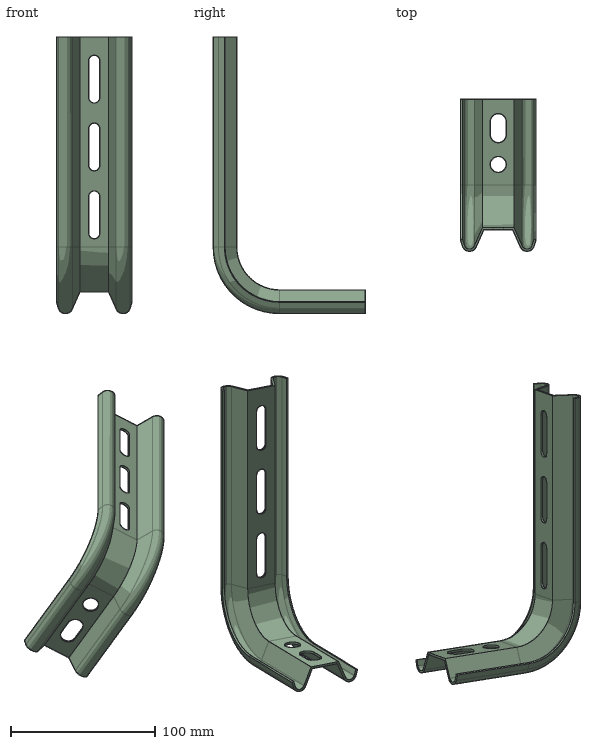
import cadquery as cq
import math

WIDTH = 52.4
REACH = 105.5
HEIGHT = 191.8
BEND_RADIUS = 46.0

DEPTH = 16.5
SHEET = 1.5
LIP_DEPTH = 7.9
RIDGE_RADIUS = 5.2
WALL_ANGLE = math.radians(24)
LIP_ANGLE = math.radians(17)

UPRIGHT_SLOT_WIDTH = 7.5
UPRIGHT_SLOT_LENGTH = 33.0
UPRIGHT_SLOT_START = 29.3
UPRIGHT_SLOT_PITCH = 47.0
UPRIGHT_SLOT_COUNT = 3

ARM_HOLE_DIAMETER = 11.0
ARM_SLOT_LENGTH = 20.0
ARM_SLOT_FROM_END = 20.1
ARM_HOLE_FROM_END = 45.3

lip_tangent_depth = RIDGE_RADIUS * (1 - math.sin(LIP_ANGLE))
lip_run = (LIP_DEPTH - lip_tangent_depth) * math.tan(LIP_ANGLE)
ridge_center_x = WIDTH / 2 - lip_run - RIDGE_RADIUS * math.cos(LIP_ANGLE)


def ridge_point(radius, angle, side):
    """Point where a flat flank meets the ridge; side is +1 for the lip, -1 for the wall."""
    x = ridge_center_x + side * radius * math.cos(angle)
    return (x, RIDGE_RADIUS - radius * math.sin(angle))


def web_corner(radius, depth):
    """Point where the slanted wall reaches the given depth."""
    x, wall_depth = ridge_point(radius, WALL_ANGLE, -1)
    return (x - (depth - wall_depth) * math.tan(WALL_ANGLE), depth)


def mirrored(point):
    return (-point[0], point[1])


def profile(plane):
    """Closed section of the sheet, with local y as the depth direction."""
    inner_radius = RIDGE_RADIUS - SHEET
    lip_tip = (WIDTH / 2, LIP_DEPTH)
    lip_inner_tip = (
        WIDTH / 2 - SHEET * math.cos(LIP_ANGLE),
        LIP_DEPTH + SHEET * math.sin(LIP_ANGLE),
    )
    outer_lip = ridge_point(RIDGE_RADIUS, LIP_ANGLE, 1)
    outer_wall = ridge_point(RIDGE_RADIUS, WALL_ANGLE, -1)
    outer_web = web_corner(RIDGE_RADIUS, DEPTH - SHEET)
    outer_crest = (ridge_center_x, 0)
    inner_lip = ridge_point(inner_radius, LIP_ANGLE, 1)
    inner_wall = ridge_point(inner_radius, WALL_ANGLE, -1)
    inner_web = web_corner(inner_radius, DEPTH)
    inner_crest = (ridge_center_x, SHEET)
    return (
        cq.Workplane(plane)
        .moveTo(*lip_tip)
        .lineTo(*outer_lip)
        .threePointArc(outer_crest, outer_wall)
        .lineTo(*outer_web)
        .lineTo(*mirrored(outer_web))
        .lineTo(*mirrored(outer_wall))
        .threePointArc(mirrored(outer_crest), mirrored(outer_lip))
        .lineTo(*mirrored(lip_tip))
        .lineTo(*mirrored(lip_inner_tip))
        .lineTo(*mirrored(inner_lip))
        .threePointArc(mirrored(inner_crest), mirrored(inner_wall))
        .lineTo(*mirrored(inner_web))
        .lineTo(*inner_web)
        .lineTo(*inner_wall)
        .threePointArc(inner_crest, inner_lip)
        .lineTo(*lip_inner_tip)
        .close()
    )


def bracket_body():
    """Upright and arm joined by a quarter bend whose axis is parallel to X."""
    bend_plane = cq.Plane(origin=(0, 0, BEND_RADIUS), xDir=(1, 0, 0), normal=(0, 0, 1))
    arm_plane = cq.Plane(origin=(0, BEND_RADIUS, 0), xDir=(1, 0, 0), normal=(0, -1, 0))
    upright = profile(bend_plane).extrude(HEIGHT - BEND_RADIUS)
    arm = profile(arm_plane).extrude(BEND_RADIUS - REACH)
    bend = profile(bend_plane).revolve(90, (0, BEND_RADIUS), (1, BEND_RADIUS))
    return upright.union(bend).union(arm)


def upright_slots():
    """Cutters through the web of the upright."""
    centers = [
        (0, HEIGHT - UPRIGHT_SLOT_START - i * UPRIGHT_SLOT_PITCH)
        for i in range(UPRIGHT_SLOT_COUNT)
    ]
    return (
        cq.Workplane("XZ")
        .pushPoints(centers)
        .slot2D(UPRIGHT_SLOT_LENGTH, UPRIGHT_SLOT_WIDTH, 90)
        .extrude(-BEND_RADIUS)
    )


def arm_openings():
    """Cutters through the web of the arm."""
    slot = (
        cq.Workplane("XY")
        .center(0, REACH - ARM_SLOT_FROM_END)
        .slot2D(ARM_SLOT_LENGTH, ARM_HOLE_DIAMETER, 90)
        .extrude(BEND_RADIUS)
    )
    hole = (
        cq.Workplane("XY")
        .center(0, REACH - ARM_HOLE_FROM_END)
        .circle(ARM_HOLE_DIAMETER / 2)
        .extrude(BEND_RADIUS)
    )
    return slot.union(hole)


result = bracket_body().cut(upright_slots()).cut(arm_openings())